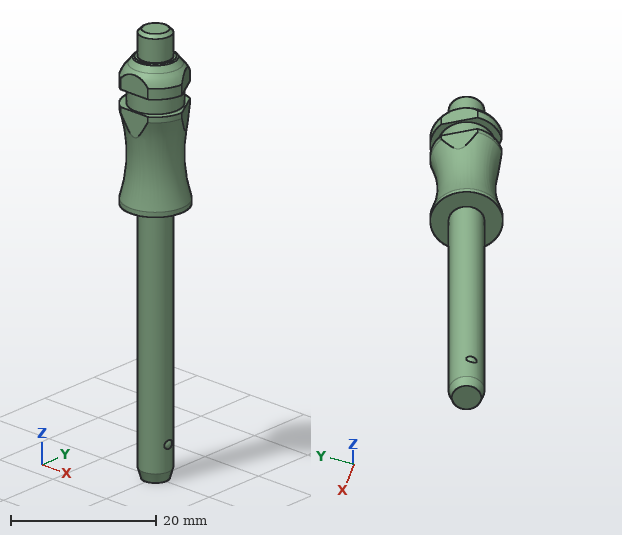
import cadquery as cq

length = 67.2
head_radius = 10.0 / 2

shank_radius = 5.0 / 2
tip_radius = 2.0
tip_height = 1.6

ball_radius = 1.0
ball_protrusion = 0.235
ball_z = 5.65

handle_bottom = 41.05
handle_top = 56.05
handle_lip = 0.8
waist_z = (handle_bottom + handle_top) / 2
neck_radius = 8.0 / 2
flare_depth = head_radius - neck_radius
flare_height = waist_z - handle_bottom - handle_lip
flare_radius = (flare_height**2 + flare_depth**2) / (2 * flare_depth)

cap_bottom = 58.65
cap_shoulder = 60.3
cap_top = 63.1
cap_top_radius = 2.9
dome_radius = 3.8
dome_z = 62.1
dome_curvature = 5.0
cap_rim_radius = 3.15
cap_rim_z = 63.0

button_radius = 5.0 / 2
button_chamfer = 0.55

flat_count = 3
flat_distance = 4.3


def make_shank():
    tip = (
        cq.Workplane("XY")
        .circle(tip_radius)
        .workplane(offset=tip_height)
        .circle(shank_radius)
        .loft(ruled=True)
    )
    rod = cq.Workplane("XY", origin=(0, 0, tip_height)).circle(shank_radius).extrude(handle_bottom - tip_height)
    return tip.union(rod)


def make_head():
    profile = (
        cq.Workplane("XZ")
        .moveTo(0, handle_bottom)
        .lineTo(head_radius, handle_bottom)
        .lineTo(head_radius, handle_bottom + handle_lip)
        .radiusArc((neck_radius, waist_z), flare_radius)
        .radiusArc((head_radius, handle_top - handle_lip), flare_radius)
        .lineTo(head_radius, handle_top)
        .lineTo(neck_radius, handle_top)
        .lineTo(neck_radius, cap_bottom)
        .lineTo(head_radius, cap_bottom)
        .lineTo(head_radius, cap_shoulder)
        .radiusArc((dome_radius, dome_z), -dome_curvature)
        .lineTo(cap_rim_radius, cap_rim_z)
        .lineTo(cap_top_radius, cap_top)
        .lineTo(0, cap_top)
        .close()
    )
    return profile.revolve(360, (0, 0, 0), (0, 1, 0))


def cut_flats(head):
    """Cut equally spaced flats, the first one facing -Y."""
    height = length - waist_z
    cutter = cq.Workplane("XY", origin=(0, -flat_distance, waist_z)).box(
        2 * head_radius, head_radius, height, centered=(True, False, False)
    )
    cutter = cutter.translate((0, -head_radius, 0))
    for index in range(flat_count):
        head = head.cut(cutter.rotate((0, 0, 0), (0, 0, 1), index * 360 / flat_count))
    return head


def make_button():
    button = cq.Workplane("XY", origin=(0, 0, cap_top)).circle(button_radius).extrude(length - cap_top)
    return button.faces(">Z").chamfer(button_chamfer)


def make_ball(side):
    center_x = side * (shank_radius + ball_protrusion - ball_radius)
    return cq.Workplane("XY", origin=(center_x, 0, ball_z)).sphere(ball_radius)


result = make_shank().union(cut_flats(make_head())).union(make_button())
for side in (-1, 1):
    result = result.union(make_ball(side))